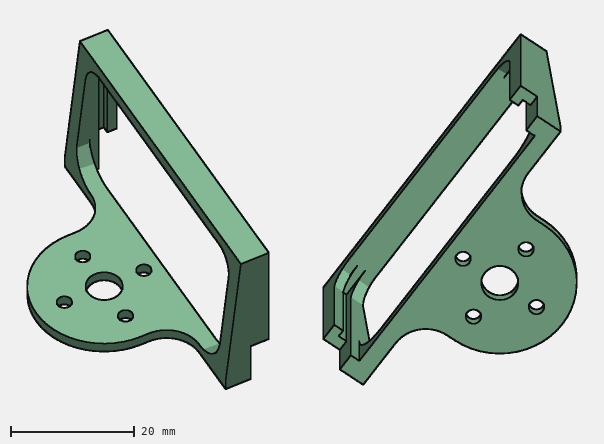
import cadquery as cq

frame_width = 55.0
frame_height = 29.0
top_depth = 5.15
base_depth = 8.0
step_depth = 3.3
step_height = 8.0
plate_thickness = 2.0

side_wall = 3.1
top_wall = 2.05
window_width = frame_width - 2 * side_wall
window_top = frame_height - top_wall
window_height = window_top - plate_thickness
upper_corner_radius = 4.0
lower_corner_radius = 6.0

lip_thickness = 1.75
groove_width = step_depth - lip_thickness
groove_depth = 1.2

clearance_front_y = -5.0

overall_depth = 28.0
tongue_radius = 12.5
blend_radius = 6.0
tongue_center_y = tongue_radius - overall_depth
center_hole_diameter = 6.0
screw_hole_diameter = 2.5
screw_circle_radius = 7.3


def make_frame():
    """Side profile with a sloping front and stepped back, extruded along X."""
    return (
        cq.Workplane("YZ")
        .moveTo(0, frame_height)
        .lineTo(-top_depth, frame_height)
        .lineTo(-base_depth, plate_thickness)
        .lineTo(-base_depth, 0)
        .lineTo(-step_depth, 0)
        .lineTo(-step_depth, step_height)
        .lineTo(0, step_height)
        .close()
        .extrude(frame_width / 2, both=True)
    )


def make_window():
    """Window cutter with smaller radii at its upper corners."""
    return (
        cq.Workplane("XY")
        .box(window_width, base_depth, window_height, centered=(True, False, False))
        .translate((0, -base_depth, plate_thickness))
        .edges("|Y and >Z").fillet(upper_corner_radius)
        .edges("|Y and <Z").fillet(lower_corner_radius)
    )


def make_panel_slot():
    """Flat cutter that leaves one groove in each side wall."""
    return (
        cq.Workplane("XY")
        .box(
            window_width + 2 * groove_depth,
            groove_width,
            window_top - step_height,
            centered=(True, False, False),
        )
        .translate((0, -lip_thickness - groove_width, step_height))
    )


def make_rear_clearance():
    """Square-cornered cutter, as wide as the window, below the step."""
    return (
        cq.Workplane("XY")
        .box(window_width, -clearance_front_y, step_height, centered=(True, False, False))
        .translate((0, clearance_front_y, 0))
    )


def make_plate():
    """Tongue with a rounded end and concave blends at the frame."""
    blend_start_x = tongue_radius + blend_radius
    blend_end_y = -base_depth - blend_radius
    return (
        cq.Workplane("XY")
        .moveTo(-blend_start_x, clearance_front_y)
        .lineTo(-blend_start_x, -base_depth)
        .radiusArc((-tongue_radius, blend_end_y), blend_radius)
        .lineTo(-tongue_radius, tongue_center_y)
        .threePointArc((0, -overall_depth), (tongue_radius, tongue_center_y))
        .lineTo(tongue_radius, blend_end_y)
        .radiusArc((blend_start_x, -base_depth), blend_radius)
        .lineTo(blend_start_x, clearance_front_y)
        .close()
        .extrude(plate_thickness)
    )


def make_holes():
    """Centre hole surrounded by four screw holes."""
    return (
        cq.Workplane("XY")
        .center(0, tongue_center_y)
        .circle(center_hole_diameter / 2)
        .polarArray(screw_circle_radius, 0, 360, 4)
        .circle(screw_hole_diameter / 2)
        .extrude(plate_thickness)
    )


frame = make_frame().cut(make_window()).cut(make_panel_slot()).cut(make_rear_clearance())
result = frame.union(make_plate()).cut(make_holes())